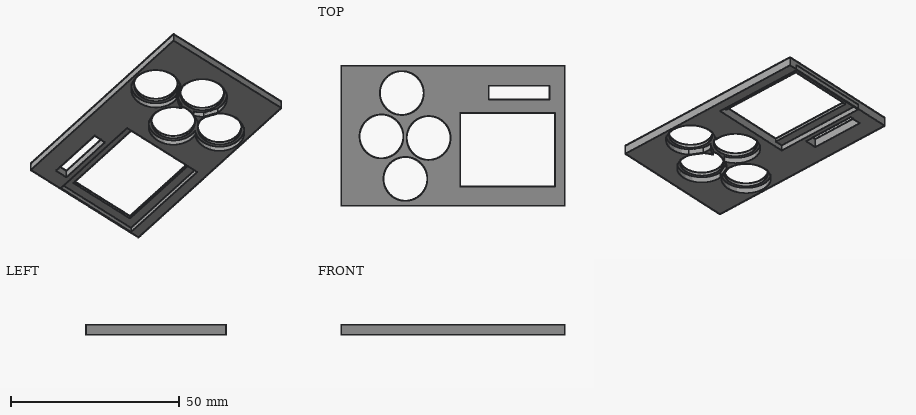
import cadquery as cq
import math

length = 66.5
width = 41.7
thickness = 3.0
lip = 1.1
recess_depth = thickness - lip

hole_diameter = 13.0
recess_radius = 7.4
top_hole = (-15.2, 12.7)
left_hole = (-21.3, -0.2)
right_hole = (-7.25, -0.65)
bottom_hole = (-14.15, -12.85)
holes = [top_hole, left_hole, right_hole, bottom_hole]

divider_thickness = 0.4
divider_length = 4.65
divided_pairs = [(top_hole, left_hole), (left_hole, bottom_hole)]

window_left = 2.2
window_right = 30.3
window_bottom = -15.1
window_top = 6.7
window_margin = 2.65

slot_left = 10.7
slot_right = 28.65
slot_bottom = 10.85
slot_top = 14.8


def block(left, right, bottom, top, height):
    """Box between the given sides, rising from the underside."""
    box = cq.Workplane("XY").box(right - left, top - bottom, height, centered=False)
    return box.translate((left, bottom, 0))


def divider(first, second):
    """Wall midway between two holes, square to the line joining them."""
    across_x = second[0] - first[0]
    across_y = second[1] - first[1]
    angle = math.degrees(math.atan2(across_y, across_x))
    middle = ((first[0] + second[0]) / 2, (first[1] + second[1]) / 2, 0)
    wall = cq.Workplane("XY").box(
        divider_thickness, divider_length, recess_depth, centered=(True, True, False)
    )
    return wall.rotate((0, 0, 0), (0, 0, 1), angle).translate(middle)


plate = cq.Workplane("XY").box(length, width, thickness, centered=(True, True, False))

for center in holes:
    recess = cq.Workplane("XY").center(*center).circle(recess_radius).extrude(recess_depth)
    plate = plate.cut(recess)
for first, second in divided_pairs:
    plate = plate.union(divider(first, second))

openings = cq.Workplane("XY").pushPoints(holes).circle(hole_diameter / 2).extrude(thickness)
plate = plate.cut(openings)

plate = plate.cut(block(window_left, window_right, window_bottom, window_top, thickness))
plate = plate.cut(
    block(
        window_left,
        window_right + window_margin,
        window_bottom - window_margin,
        window_top + window_margin,
        recess_depth,
    )
)

plate = plate.cut(block(slot_left, slot_right, slot_bottom, slot_top, thickness))

result = plate